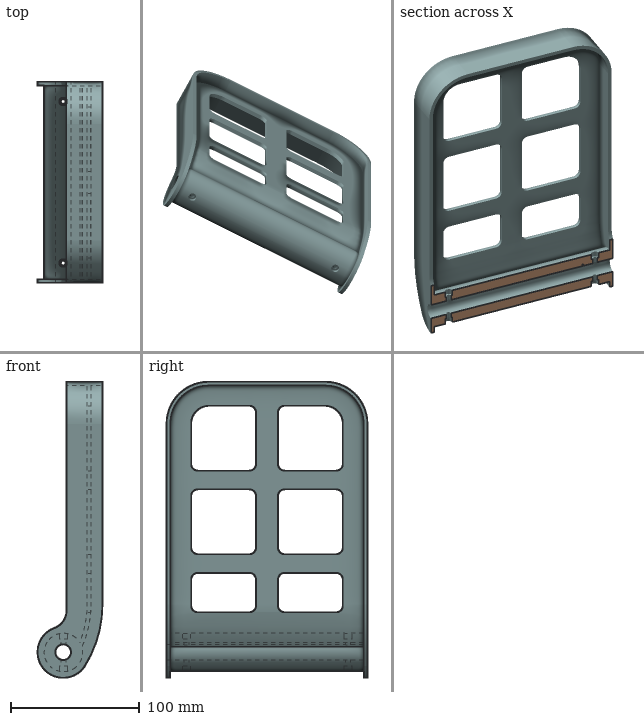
import cadquery as cq
import math

depth = 50.5
width = 156.0
height = 229.8
wall = 3.0
rim_depth = 28.0
top_corner_radius = 32.9
plate_thickness = 3.0
back_recess = 9.2
rim_front = depth - rim_depth

eye_radius = 20.0
pivot_x = eye_radius
pivot_z = eye_radius
tube_radius = 15.0
bore_diameter = 12.0
neck_radius = 14.5
back_bend_z = 57.0

pin_diameter = 3.7
pin_head_diameter = 6.0
pin_head_depth = 4.5
pin_edge_distance = 15.5

window_width = 50.0
window_height = 50.0
bottom_window_height = 30.3
window_gap_y = 17.2
window_gap_z = 14.7
window_top = 211.0
window_radius = 5.0
window_outer_radius = 13.8

bend_rise = back_bend_z - pivot_z
bend_reach = depth - pivot_x
bend_radius = (bend_reach**2 + bend_rise**2 - eye_radius**2) / (2 * (bend_reach - eye_radius))
bend_x = depth - bend_radius
bend_end_angle = math.atan2(pivot_z - back_bend_z, pivot_x - bend_x)

neck_x = rim_front - neck_radius
neck_angle = math.acos((neck_x - pivot_x) / (neck_radius + eye_radius))
neck_z = pivot_z + (neck_radius + eye_radius) * math.sin(neck_angle)


def polar(center_x, center_z, radius, angle):
    return (center_x + radius * math.cos(angle), center_z + radius * math.sin(angle))


def side_profile():
    """Outline of an end wall, seen along Y."""
    eye_back = polar(pivot_x, pivot_z, eye_radius, bend_end_angle)
    eye_low = polar(pivot_x, pivot_z, eye_radius, (bend_end_angle + neck_angle - math.pi * 2) / 2)
    eye_neck = polar(pivot_x, pivot_z, eye_radius, neck_angle)
    neck_mid = polar(neck_x, neck_z, neck_radius, (neck_angle - math.pi) / 2)
    return (
        cq.Workplane("XZ")
        .moveTo(rim_front, height)
        .lineTo(depth, height)
        .lineTo(depth, back_bend_z)
        .threePointArc(polar(bend_x, back_bend_z, bend_radius, bend_end_angle / 2), eye_back)
        .threePointArc(eye_low, eye_neck)
        .threePointArc(neck_mid, (rim_front, neck_z))
        .close()
    )


def interior():
    """Space between the end walls and under the top rim, open at front, back and bottom."""
    space = (
        cq.Workplane("XY")
        .box(3 * depth, width - 2 * wall, height, centered=(True, True, False))
        .translate((0, 0, -wall))
    )
    return space.edges("|X and >Z").fillet(top_corner_radius - wall)


def back_plate():
    """Plate recessed from the back, bent at the bottom concentrically with the walls into the tube."""
    front_recess = back_recess + plate_thickness
    outer_bend = bend_radius - back_recess
    inner_bend = bend_radius - front_recess
    plate = (
        cq.Workplane("XZ")
        .moveTo(depth - front_recess, height)
        .lineTo(depth - back_recess, height)
        .lineTo(depth - back_recess, back_bend_z)
        .threePointArc(
            polar(bend_x, back_bend_z, outer_bend, bend_end_angle / 2),
            polar(bend_x, back_bend_z, outer_bend, bend_end_angle),
        )
        .lineTo(*polar(bend_x, back_bend_z, inner_bend, bend_end_angle))
        .threePointArc(
            polar(bend_x, back_bend_z, inner_bend, bend_end_angle / 2),
            (depth - front_recess, back_bend_z),
        )
        .close()
        .extrude(width / 2, both=True)
    )
    return plate.intersect(interior())


def tube():
    """Pivot tube spanning the end walls."""
    length = width - 2 * wall
    return cq.Workplane("XZ").center(pivot_x, pivot_z).circle(tube_radius).extrude(length / 2, both=True)


def window(side, top, tall, is_top_row):
    """Cutter for one window; side is -1 or 1 across the centre rib."""
    cutter = (
        cq.Workplane("XY")
        .box(2 * rim_depth, window_width, tall)
        .translate((depth, side * (window_gap_y + window_width) / 2, top - tall / 2))
    )
    if not is_top_row:
        return cutter.edges("|X").fillet(window_radius)
    outer = ">Y" if side > 0 else "<Y"
    corner = f"|X and >Z and {outer}"
    cutter = cutter.edges(f"|X and (not (>Z and {outer}))").fillet(window_radius)
    return cutter.edges(corner).fillet(window_outer_radius)


def pin_hole(y):
    """Cutter for a vertical pin hole, counterbored at the top and bottom of the tube."""
    cutter = cq.Workplane("XY").center(pivot_x, y).circle(pin_diameter / 2).extrude(2 * pivot_z)
    head_offset = tube_radius - pin_head_depth
    for head_start in (pivot_z + head_offset, pivot_z - head_offset - 2 * pin_head_depth):
        head = (
            cq.Workplane("XY", origin=(pivot_x, y, head_start))
            .circle(pin_head_diameter / 2)
            .extrude(2 * pin_head_depth)
        )
        cutter = cutter.union(head)
    return cutter


body = side_profile().extrude(width / 2, both=True)
body = body.edges("|X and >Z").fillet(top_corner_radius)
body = body.cut(interior()).union(back_plate()).union(tube())

row_pitch = window_height + window_gap_z
for row, tall in enumerate((window_height, window_height, bottom_window_height)):
    for side in (-1, 1):
        body = body.cut(window(side, window_top - row * row_pitch, tall, row == 0))

bore = cq.Workplane("XZ").center(pivot_x, pivot_z).circle(bore_diameter / 2).extrude(width, both=True)
body = body.cut(bore)
for side in (-1, 1):
    body = body.cut(pin_hole(side * (width / 2 - pin_edge_distance)))

result = body